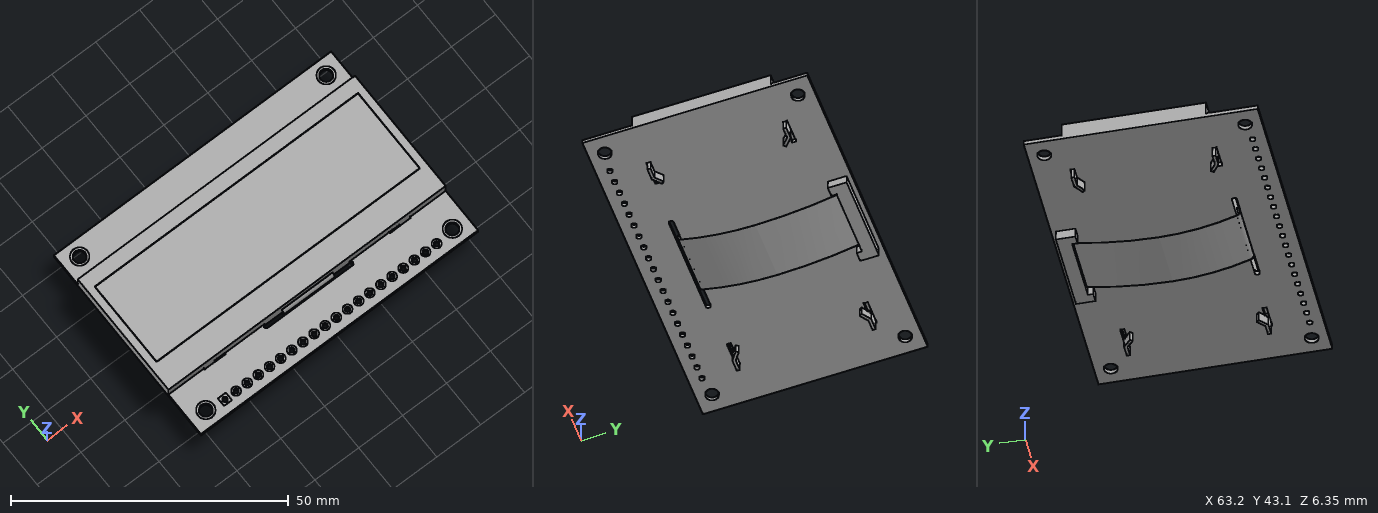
import cadquery as cq
import math

OVERALL_H = 6.35

BOARD_X = 63.2
BOARD_Y = 43.1
BOARD_T = 0.9

MOUNT_X = 28.1
MOUNT_Y = 18.5
MOUNT_HOLE_D = 2.5
MOUNT_PAD_D = 3.5

PIN_COUNT = 20
PIN_PITCH = 2.54
PIN_Y = -19.0
PIN_HOLE_D = 1.0
PIN_PAD_D = 1.8
PAD_T = 0.05

FRAME_Y_MIN = -12.05
FRAME_Y_MAX = 14.55
FRAME_H = 2.7
WINDOW_X = 60.0
WINDOW_Y_MIN = -6.5
WINDOW_Y_MAX = 11.6
WINDOW_DEPTH = 0.3

TAB_X = 21.1
TAB_SLOT_LENGTH = 4.8
TAB_CLEARANCE = 0.2
TAB_FLAT_LENGTH = 2.35
TAB_TWISTED_LENGTH = 2.1
TAB_T = 0.6
TAB_DROP = 2.0
TAB_TWIST_LEFT = 36
TAB_TWIST_RIGHT = 43

CONNECTOR_X = 17.0
CONNECTOR_Y_MIN = 17.05
CONNECTOR_Y_MAX = 20.65
CONNECTOR_H = 2.0
MOUTH_X = 13.3
MOUTH_DEPTH = 1.0

RIBBON_X = 11.6
RIBBON_T = 0.1
RIBBON_BOTTOM = FRAME_H - OVERALL_H
RIBBON_SAG_Y = 2.2
RIBBON_EXIT_Z = 0.9
RIBBON_LOOP_REACH = 0.65
RIBBON_LOOP_Z = -0.4
RIBBON_EMBED = 0.15
RIBBON_BEND_Y = -12.1
RIBBON_FRONT_R = 42
RIBBON_BACK_R = 68
RIBBON_SLOT_X = 20.2
RIBBON_SLOT_W = 0.9


def block(x_min, x_max, y_min, y_max, z_min, z_max):
    """Box given by its limits along each axis."""
    size = (x_max - x_min, y_max - y_min, z_max - z_min)
    return cq.Workplane("XY").box(*size, centered=False).translate((x_min, y_min, z_min))


def make_board():
    """Plain board with the rounded slot for the ribbon beside the frame."""
    board = block(-BOARD_X / 2, BOARD_X / 2, -BOARD_Y / 2, BOARD_Y / 2, -BOARD_T, 0)
    slot = (
        cq.Workplane("XY")
        .center(0, FRAME_Y_MIN - RIBBON_SLOT_W / 2)
        .slot2D(RIBBON_SLOT_X, RIBBON_SLOT_W)
        .extrude(-BOARD_T)
    )
    return board.cut(slot)


def add_drilled_pads(board):
    """Raised copper pads with through holes: four mounting holes and the pin row."""
    mounts = [(sx * MOUNT_X, sy * MOUNT_Y) for sx in (-1, 1) for sy in (-1, 1)]
    first_pin_x = -(PIN_COUNT - 1) * PIN_PITCH / 2
    pins = [(first_pin_x + i * PIN_PITCH, PIN_Y) for i in range(PIN_COUNT)]

    plane = cq.Workplane("XY")
    board = board.union(plane.pushPoints(mounts).circle(MOUNT_PAD_D / 2).extrude(PAD_T))
    board = board.union(plane.pushPoints(pins[:1]).rect(PIN_PAD_D, PIN_PAD_D).extrude(PAD_T))
    board = board.union(plane.pushPoints(pins[1:]).circle(PIN_PAD_D / 2).extrude(PAD_T))

    drill_plane = cq.Workplane("XY").workplane(offset=-BOARD_T)
    drill_depth = BOARD_T + PAD_T
    board = board.cut(drill_plane.pushPoints(mounts).circle(MOUNT_HOLE_D / 2).extrude(drill_depth))
    return board.cut(drill_plane.pushPoints(pins).circle(PIN_HOLE_D / 2).extrude(drill_depth))


def make_frame():
    """Full-width display frame with the shallow viewing window in its top face."""
    frame = block(-BOARD_X / 2, BOARD_X / 2, FRAME_Y_MIN, FRAME_Y_MAX, 0, FRAME_H)
    window = block(
        -WINDOW_X / 2, WINDOW_X / 2, WINDOW_Y_MIN, WINDOW_Y_MAX, FRAME_H - WINDOW_DEPTH, FRAME_H
    )
    return frame.cut(window)


def make_tab_slot(side_x, edge_y, outward):
    """Narrow board slot reaching just past the frame edge."""
    slot_w = TAB_T + TAB_CLEARANCE
    slot_y = edge_y + outward * (TAB_CLEARANCE - slot_w / 2)
    return (
        cq.Workplane("XY")
        .center(side_x * TAB_X, slot_y)
        .rect(TAB_SLOT_LENGTH, slot_w)
        .extrude(-BOARD_T)
    )


def make_tab(side_x, edge_y, outward):
    """Tab flush with the frame edge; its inner half is twisted in under the board."""
    tab_bottom = -BOARD_T - TAB_DROP
    twist = TAB_TWIST_LEFT if side_x < 0 else TAB_TWIST_RIGHT
    flat = block(TAB_X, TAB_X + TAB_FLAT_LENGTH, -TAB_T, 0, tab_bottom, 0)
    twisted = block(TAB_X - TAB_TWISTED_LENGTH, TAB_X, -TAB_T, 0, tab_bottom, -BOARD_T)
    fold_bottom = (TAB_X, 0, tab_bottom)
    fold_top = (TAB_X, 0, -BOARD_T)
    tab = flat.union(twisted.rotate(fold_bottom, fold_top, twist))
    if side_x < 0:
        tab = tab.mirror("YZ")
    if outward < 0:
        tab = tab.mirror("XZ")
    return tab.translate((0, edge_y, 0))


def make_connector():
    """Connector body with an open mouth toward the ribbon."""
    z_min = -BOARD_T - CONNECTOR_H
    body = block(
        -CONNECTOR_X / 2, CONNECTOR_X / 2, CONNECTOR_Y_MIN, CONNECTOR_Y_MAX, z_min, -BOARD_T
    )
    mouth = block(
        -MOUTH_X / 2, MOUTH_X / 2, CONNECTOR_Y_MIN, CONNECTOR_Y_MIN + MOUTH_DEPTH, z_min, -BOARD_T
    )
    return body.cut(mouth)


def ribbon_rise(y, radius):
    """Height of the sagging ribbon centreline at y, for an arc that is level at its lowest point."""
    run = y - RIBBON_SAG_Y
    return RIBBON_BOTTOM + RIBBON_T / 2 + radius - math.sqrt(radius**2 - run**2)


def make_ribbon():
    """Thin ribbon looping out of the frame, through the board and along to the connector."""
    under_board = (RIBBON_BEND_Y, ribbon_rise(RIBBON_BEND_Y, RIBBON_FRONT_R))
    lowest = (RIBBON_SAG_Y, RIBBON_BOTTOM + RIBBON_T / 2)
    loop_crest = (FRAME_Y_MIN - RIBBON_LOOP_REACH, RIBBON_LOOP_Z)
    end_y = CONNECTOR_Y_MIN + MOUTH_DEPTH + RIBBON_EMBED
    end = (end_y, ribbon_rise(end_y, RIBBON_BACK_R))
    path = (
        cq.Workplane("YZ")
        .moveTo(*end)
        .radiusArc(lowest, RIBBON_BACK_R)
        .radiusArc(under_board, RIBBON_FRONT_R)
        .tangentArcPoint(loop_crest, relative=False)
        .tangentArcPoint((FRAME_Y_MIN + RIBBON_EMBED, RIBBON_EXIT_Z), relative=False)
    )
    return path.offset2D(RIBBON_T / 2).extrude(RIBBON_X / 2, both=True)


tab_places = [
    (side_x, edge_y, outward)
    for side_x in (-1, 1)
    for edge_y, outward in ((FRAME_Y_MIN, -1), (FRAME_Y_MAX, 1))
]

result = add_drilled_pads(make_board())
for place in tab_places:
    result = result.cut(make_tab_slot(*place))
result = result.union(make_frame())
for place in tab_places:
    result = result.union(make_tab(*place))
result = result.union(make_connector()).union(make_ribbon())